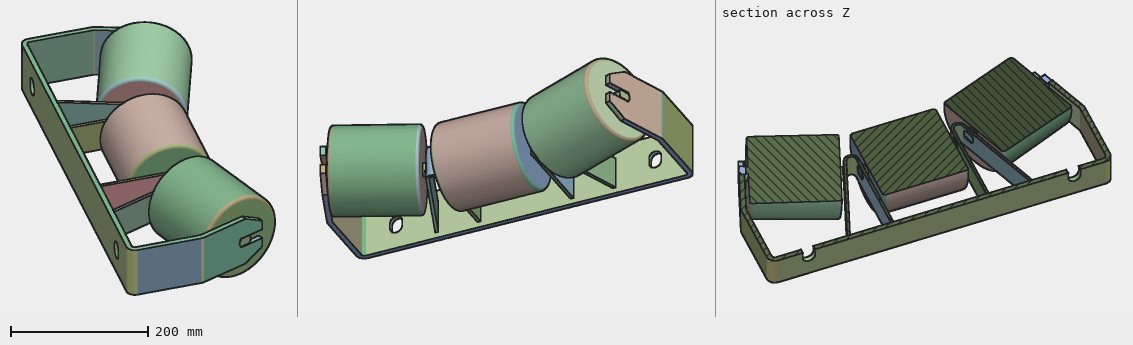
import cadquery as cq
import math

frame_width = 540.0
strip_height = 81.0
toe_angle = 20.0

frame_thickness = 8.0
corner_radius = 13.0
arm_bend_radius = 14.0
arm_bend_start = 110.0
arm_length = 106.0
tip_chamfer_length = 31.0
tip_chamfer_height = 17.5
mount_slot_x = 208.5
mount_slot_width = 19.5
mount_slot_height = 27.5

roller_diameter = 133.5
roller_length = 135.0
roller_edge_radius = 5.0
shaft_diameter = 20.5
shaft_flat_height = 13.5
shaft_inset = 0.5
seat_height = 15.5
roller_gap = 5.0
flat_clearance = 1.5
middle_roller_y = 126.0
middle_roller_z = -6.5
seat_from_bend = 75.0

bracket_thickness = 5.0
bracket_height = 49.5
bracket_bend_radius = 12.0

half_width = frame_width / 2
seat_distance = roller_length / 2 + roller_gap
bracket_end = seat_distance + bracket_thickness
arm_end = seat_distance + frame_thickness
seat_reach = arm_end + frame_thickness
side_tilt = math.degrees(math.asin(-middle_roller_z / (arm_end + bracket_end)))

out_angle = 180 - toe_angle
arm_normal = cq.Vector(math.cos(math.radians(out_angle)), math.sin(math.radians(out_angle)), 0)
arm_direction = cq.Vector(arm_normal.y, -arm_normal.x, 0)

arm_bend_centre = cq.Vector(arm_bend_radius - half_width, arm_bend_start, 0)
arm_bend_end = arm_bend_centre + arm_normal * arm_bend_radius
arm_tip = arm_bend_end + arm_direction * arm_length
shaft_seat = arm_bend_end + arm_direction * seat_from_bend
side_centre = shaft_seat - arm_normal * arm_end
side_centre_z = -arm_end * math.sin(math.radians(side_tilt))


def around(centre, radius, angle):
    """Plan point at an angle in degrees on a circle."""
    turn = math.radians(angle)
    return (centre.x + radius * math.cos(turn), centre.y + radius * math.sin(turn))


def plan(point):
    """X and Y of a vector."""
    return (point.x, point.y)


def mirrored(body):
    """The matching body on the other side of the YZ plane."""
    return body.mirror("YZ")


def place_left(body):
    """Move a body from the roller's own axes, X along the shaft, to the left roller position."""
    tilted = body.rotate((0, 0, 0), (0, 1, 0), side_tilt)
    turned = tilted.rotate((0, 0, 0), (0, 0, 1), -toe_angle)
    return turned.translate((side_centre.x, side_centre.y, side_centre_z))


def place_middle(body):
    return body.translate((0, middle_roller_y, middle_roller_z))


def rod_along_x(left_end, right_end, diameter):
    """Round rod from X = -left_end to X = right_end."""
    return cq.Workplane("YZ", origin=(-left_end, 0, 0)).circle(diameter / 2).extrude(left_end + right_end)


def flattened_rod(left_end, right_end, flat_height):
    """Rod along X as thick as the shaft, with a flat above and below over its whole length."""
    length = left_end + right_end
    middle_x = (right_end - left_end) / 2
    rod = rod_along_x(left_end, right_end, shaft_diameter)
    flats = cq.Workplane("XY").box(length, shaft_diameter, flat_height).translate((middle_x, 0, 0))
    return rod.intersect(flats)


def make_roller(left_end, right_end):
    drum = rod_along_x(roller_length / 2, roller_length / 2, roller_diameter)
    drum = drum.edges().fillet(roller_edge_radius)
    round_end = seat_distance - flat_clearance
    round_shaft = rod_along_x(round_end, round_end, shaft_diameter)
    flat_ends = flattened_rod(left_end - shaft_inset, right_end - shaft_inset, shaft_flat_height)
    return drum.union(round_shaft).union(flat_ends)


shaft_seats = flattened_rod(seat_reach, seat_reach, seat_height)
left_roller = place_left(make_roller(arm_end, bracket_end))
right_roller = mirrored(left_roller)
middle_roller = place_middle(make_roller(bracket_end, bracket_end))


def half_strip():
    corner_centre = cq.Vector(corner_radius - half_width, corner_radius, 0)
    inner_corner = corner_radius - frame_thickness
    inner_bend = arm_bend_radius - frame_thickness
    mid_bend_angle = 180 - toe_angle / 2
    return (
        cq.Workplane("XY")
        .moveTo(0, 0)
        .lineTo(*around(corner_centre, corner_radius, 270))
        .threePointArc(around(corner_centre, corner_radius, 225), around(corner_centre, corner_radius, 180))
        .lineTo(*around(arm_bend_centre, arm_bend_radius, 180))
        .threePointArc(around(arm_bend_centre, arm_bend_radius, mid_bend_angle), plan(arm_bend_end))
        .lineTo(*plan(arm_tip))
        .lineTo(*plan(arm_tip - arm_normal * frame_thickness))
        .lineTo(*around(arm_bend_centre, inner_bend, out_angle))
        .threePointArc(
            around(arm_bend_centre, inner_bend, mid_bend_angle), around(arm_bend_centre, inner_bend, 180)
        )
        .lineTo(*around(corner_centre, inner_corner, 180))
        .threePointArc(around(corner_centre, inner_corner, 225), around(corner_centre, inner_corner, 270))
        .lineTo(0, frame_thickness)
        .close()
        .extrude(strip_height)
        .translate((0, 0, -strip_height / 2))
    )


def tip_corners():
    """Wedges that bevel the upper and lower corner of the left arm tip."""
    edge = strip_height / 2
    tip_plane = cq.Plane(origin=arm_tip.toTuple(), xDir=arm_direction.toTuple(), normal=arm_normal.toTuple())
    wedges = cq.Workplane("XY")
    for side in (1, -1):
        corner = [
            (-tip_chamfer_length, side * edge),
            (0, side * edge),
            (0, side * (edge - tip_chamfer_height)),
        ]
        wedge = cq.Workplane(tip_plane).polyline(corner).close().extrude(frame_thickness, both=True)
        wedges = wedges.add(wedge)
    return wedges.combine()


def slot_opening():
    """Straight part of the shaft slot in the left arm, from the shaft axis out past the arm tip."""
    depth = 2 * frame_thickness
    opening = cq.Workplane("XY").box(depth, arm_length, seat_height)
    return place_left(opening.translate((frame_thickness / 2 - arm_end, arm_length / 2, 0)))


def mount_slot():
    return (
        cq.Workplane("XZ", origin=(-mount_slot_x, 0, 0))
        .slot2D(mount_slot_height, mount_slot_width, 90)
        .extrude(frame_thickness, both=True)
    )


def make_frame():
    half = half_strip().cut(tip_corners()).cut(slot_opening()).cut(place_left(shaft_seats)).cut(mount_slot())
    return half.union(mirrored(half))


def make_left_bracket():
    centre_x = -seat_distance - bracket_bend_radius
    leg_offset = side_centre.dot(arm_normal) - seat_distance
    centre_y = (leg_offset - bracket_bend_radius - centre_x * arm_normal.x) / arm_normal.y
    centre = cq.Vector(centre_x, centre_y, 0)
    inner_radius = bracket_bend_radius - bracket_thickness
    lean_top = centre + arm_normal * bracket_bend_radius
    foot_y = frame_thickness
    lean_foot_x = lean_top.x - (lean_top.y - foot_y) * math.tan(math.radians(toe_angle))
    foot_width = bracket_thickness / math.cos(math.radians(toe_angle))
    bracket = (
        cq.Workplane("XY")
        .moveTo(-seat_distance, foot_y)
        .lineTo(*around(centre, bracket_bend_radius, 0))
        .threePointArc(around(centre, bracket_bend_radius, out_angle / 2), plan(lean_top))
        .lineTo(lean_foot_x, foot_y)
        .lineTo(lean_foot_x + foot_width, foot_y)
        .lineTo(*around(centre, inner_radius, out_angle))
        .threePointArc(around(centre, inner_radius, out_angle / 2), around(centre, inner_radius, 0))
        .lineTo(-bracket_end, foot_y)
        .close()
        .extrude(bracket_height)
        .translate((0, 0, middle_roller_z - bracket_height / 2))
    )
    return bracket.cut(place_left(shaft_seats)).cut(place_middle(shaft_seats))


frame = make_frame()
left_bracket = make_left_bracket()
brackets = [left_bracket, mirrored(left_bracket)]
rollers = [left_roller, middle_roller, right_roller]

result = cq.Compound.makeCompound([body.val() for body in [frame, *brackets, *rollers]])